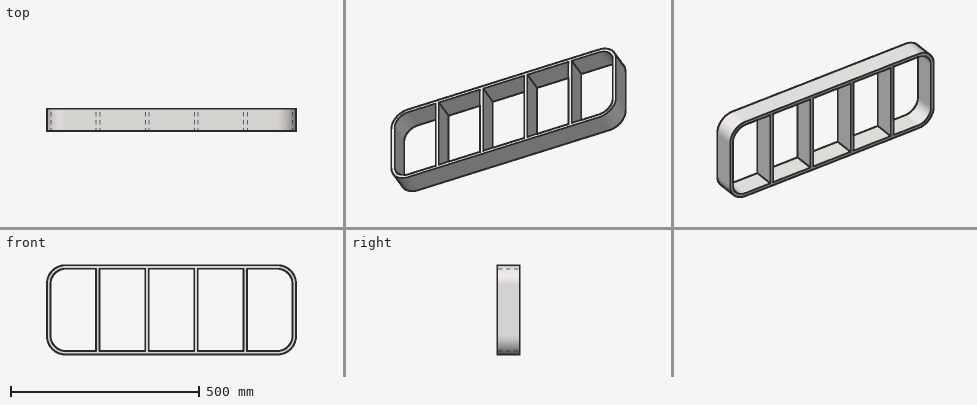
import cadquery as cq

length = 662.5
depth = 60.0
height = 238.0
wall = 10.0
corner_radius = 50.0

divider_count = 4
divider_thickness = 10.0

inner_length = length - 2 * wall
inner_height = height - 2 * wall
cell_width = (inner_length - divider_count * divider_thickness) / (divider_count + 1)
divider_pitch = cell_width + divider_thickness


def rounded_block(size_x, size_z, radius):
    """Block centred on the origin, with its four Y-direction edges rounded."""
    return cq.Workplane("XY").box(size_x, depth, size_z).edges("|Y").fillet(radius)


def make_frame():
    """Rounded ring of constant wall thickness, open along Y."""
    outer = rounded_block(length, height, corner_radius)
    opening = rounded_block(inner_length, inner_height, corner_radius - wall)
    return outer.cut(opening)


def make_divider(x_centre):
    """Full-depth upright plate reaching halfway into the top and bottom walls."""
    plate = cq.Workplane("XY").box(divider_thickness, depth, height - wall)
    return plate.translate((x_centre, 0, 0))


result = make_frame()
for index in range(divider_count):
    offset = index - (divider_count - 1) / 2
    result = result.union(make_divider(offset * divider_pitch))